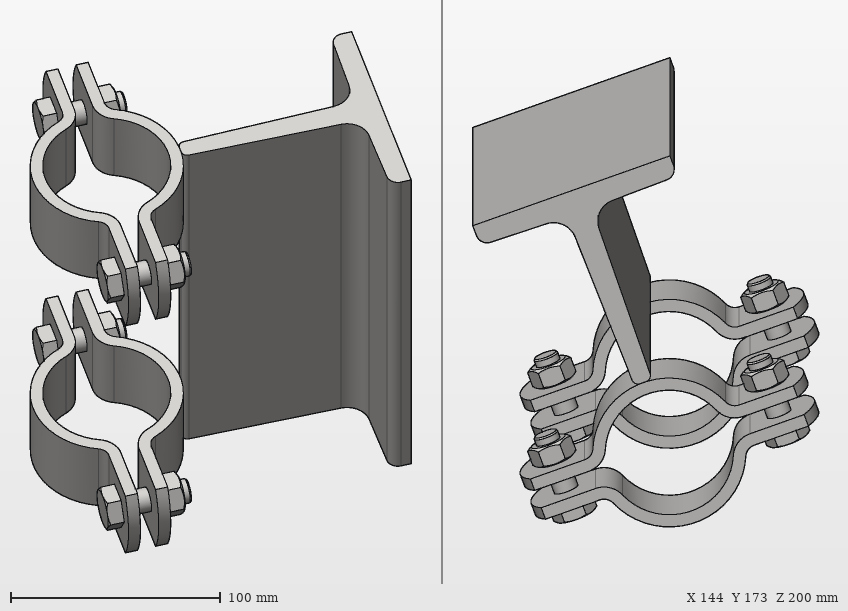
import cadquery as cq
import math


TEE_LENGTH = 200.0
TEE_WIDTH = 100.0
TEE_DEPTH = 100.0
TEE_THICKNESS = 11.0
TEE_TAPER = 0.02
ROOT_RADIUS = TEE_THICKNESS
TIP_RADIUS = TEE_THICKNESS / 2
WEB_END_RADIUS = 3.0

STRAP_WIDTH = 40.0
STRAP_THICKNESS = 6.0
CLAMP_SPAN = 144.0
CLAMP_OUTER_RADIUS = 73.0 / 2
CLAMP_INNER_RADIUS = CLAMP_OUTER_RADIUS - STRAP_THICKNESS
LUG_GAP = 9.0
LUG_INNER_Y = LUG_GAP / 2
LUG_OUTER_Y = LUG_INNER_Y + STRAP_THICKNESS
LUG_END_RADIUS = 40.0
BEND_OUTSIDE_RADIUS = 6.0
BEND_INSIDE_RADIUS = BEND_OUTSIDE_RADIUS + STRAP_THICKNESS

BOLT_X = 54.0
BOLT_DIAMETER = 12.0
BOLT_END_DIAMETER = 11.0
BOLT_END_TAPER_LENGTH = 0.8
BOLT_PROTRUSION = 14.0
HEX_SIDES = 6
HEX_FLATS = 19.0
HEX_CORNERS = HEX_FLATS / math.cos(math.pi / HEX_SIDES)
HEAD_HEIGHT = 7.5
HEAD_FACE_DIAMETER = HEX_FLATS
NUT_HEIGHT = 10.0
NUT_FACE_DIAMETER = 17.2
HEX_CHAMFER_ANGLE = math.radians(30)

TEE_FRONT_Y = CLAMP_OUTER_RADIUS
TEE_BACK_Y = TEE_FRONT_Y + TEE_DEPTH


def web_half_thickness(y):
    mid_y = TEE_FRONT_Y + TEE_DEPTH / 2
    return TEE_THICKNESS / 2 + TEE_TAPER * (y - mid_y)


def flange_underside_y(x):
    return TEE_BACK_Y - TEE_THICKNESS - TEE_TAPER * (TEE_WIDTH / 4 - x)


def make_tee():
    """Rolled tee with tapered flange and web, extruded along Z."""
    half_width = TEE_WIDTH / 2
    tip = (half_width, flange_underside_y(half_width))
    underside_on_axis = flange_underside_y(0)
    root_x = web_half_thickness(underside_on_axis) / (1 - TEE_TAPER ** 2)
    root = (root_x, flange_underside_y(root_x))
    web_end = (web_half_thickness(TEE_FRONT_Y), TEE_FRONT_Y)

    right_side = [(half_width, TEE_BACK_Y), tip, root, web_end]
    left_side = [(-x, y) for x, y in reversed(right_side)]
    tee = cq.Workplane("XY").polyline(right_side + left_side).close().extrude(TEE_LENGTH)

    corner_radii = [(root, ROOT_RADIUS), (tip, TIP_RADIUS), (web_end, WEB_END_RADIUS)]
    for (x, y), radius in corner_radii:
        for side in (1, -1):
            corner = cq.selectors.NearestToPointSelector((side * x, y, TEE_LENGTH / 2))
            tee = tee.edges(corner).fillet(radius)
    return tee


def make_rear_strap():
    """Rear half of a clamp: a half ring bent outward into two flat lugs with arched ends."""
    bend_y = LUG_OUTER_Y + BEND_OUTSIDE_RADIUS
    bend_distance = CLAMP_OUTER_RADIUS + BEND_OUTSIDE_RADIUS
    bend_x = math.sqrt(bend_distance ** 2 - bend_y ** 2)
    ring_angle = math.atan2(bend_y, bend_x)
    bend_mid_angle = (ring_angle - math.pi / 2) / 2

    def on_ring(radius):
        return radius * math.cos(ring_angle), radius * math.sin(ring_angle)

    def on_bend(radius):
        return bend_x - radius * math.cos(bend_mid_angle), bend_y + radius * math.sin(bend_mid_angle)

    def mirrored(point):
        return -point[0], point[1]

    lug_x = CLAMP_SPAN / 2
    outer_end = on_ring(CLAMP_OUTER_RADIUS)
    outer_bend = on_bend(BEND_OUTSIDE_RADIUS)
    inner_end = on_ring(CLAMP_INNER_RADIUS)
    inner_bend = on_bend(BEND_INSIDE_RADIUS)
    strap = (
        cq.Workplane("XY")
        .moveTo(lug_x, LUG_OUTER_Y)
        .lineTo(bend_x, LUG_OUTER_Y)
        .threePointArc(outer_bend, outer_end)
        .threePointArc((0, CLAMP_OUTER_RADIUS), mirrored(outer_end))
        .threePointArc(mirrored(outer_bend), (-bend_x, LUG_OUTER_Y))
        .lineTo(-lug_x, LUG_OUTER_Y)
        .lineTo(-lug_x, LUG_INNER_Y)
        .lineTo(-bend_x, LUG_INNER_Y)
        .threePointArc(mirrored(inner_bend), mirrored(inner_end))
        .threePointArc((0, CLAMP_INNER_RADIUS), inner_end)
        .threePointArc(inner_bend, (bend_x, LUG_INNER_Y))
        .lineTo(lug_x, LUG_INNER_Y)
        .close()
        .extrude(STRAP_WIDTH)
    )
    return strap.intersect(make_lug_end_envelope())


def make_lug_end_envelope():
    """Block along Y with arched ends that trims the strap to its face outline."""
    half_width = STRAP_WIDTH / 2
    arch_rise = LUG_END_RADIUS - math.sqrt(LUG_END_RADIUS ** 2 - half_width ** 2)
    end_x = CLAMP_SPAN / 2
    corner_x = end_x - arch_rise
    return (
        cq.Workplane("XZ")
        .moveTo(-corner_x, 0)
        .lineTo(corner_x, 0)
        .threePointArc((end_x, half_width), (corner_x, STRAP_WIDTH))
        .lineTo(-corner_x, STRAP_WIDTH)
        .threePointArc((-end_x, half_width), (-corner_x, 0))
        .close()
        .extrude(CLAMP_SPAN / 2, both=True)
    )


def make_hex(height, face_diameter, chamfer_both_ends):
    """Hexagon along +Z with its corners turned off at the top, or at both ends."""
    corner_radius = HEX_CORNERS / 2
    face_radius = face_diameter / 2
    chamfer_height = (corner_radius - face_radius) * math.tan(HEX_CHAMFER_ANGLE)
    bottom = [(corner_radius, 0)]
    if chamfer_both_ends:
        bottom = [(face_radius, 0), (corner_radius, chamfer_height)]
    top = [(corner_radius, height - chamfer_height), (face_radius, height)]
    outline = [(0, 0)] + bottom + top + [(0, height)]
    turned_blank = cq.Workplane("XZ").polyline(outline).close().revolve(360, (0, 0), (0, 1))
    return cq.Workplane("XY").polygon(HEX_SIDES, HEX_CORNERS).extrude(height).intersect(turned_blank)


def make_bolt_with_nut():
    """Bolt along Y at the origin: head against the front lug, nut against the rear lug."""
    shank_length = LUG_OUTER_Y * 2 + BOLT_PROTRUSION
    taper_depth = (BOLT_DIAMETER - BOLT_END_DIAMETER) / 2
    shank = (
        cq.Workplane("XY")
        .workplane(offset=-LUG_OUTER_Y)
        .circle(BOLT_DIAMETER / 2)
        .extrude(shank_length)
        .faces(">Z")
        .chamfer(BOLT_END_TAPER_LENGTH, taper_depth)
    )
    head = make_hex(HEAD_HEIGHT, HEAD_FACE_DIAMETER, False).mirror("XY").translate((0, 0, -LUG_OUTER_Y))
    nut = make_hex(NUT_HEIGHT, NUT_FACE_DIAMETER, True).translate((0, 0, LUG_OUTER_Y))
    return shank.union(head).union(nut).rotate((0, 0, 0), (1, 0, 0), -90)


def make_clamp():
    """Complete clamp: two straps joined by a bolt and nut at each lug, bottom edge at Z = 0."""
    rear_strap = make_rear_strap()
    clamp = rear_strap.union(rear_strap.mirror("XZ"))
    for side in (1, -1):
        clamp = clamp.union(make_bolt_with_nut().translate((side * BOLT_X, 0, STRAP_WIDTH / 2)))
    return clamp


tee = make_tee()

clamps = []
for clamp_bottom_z in (0, TEE_LENGTH - STRAP_WIDTH):
    clamps.append(make_clamp().translate((0, 0, clamp_bottom_z)).solids().val())

result = cq.Compound.makeCompound([tee.solids().val(), *clamps])